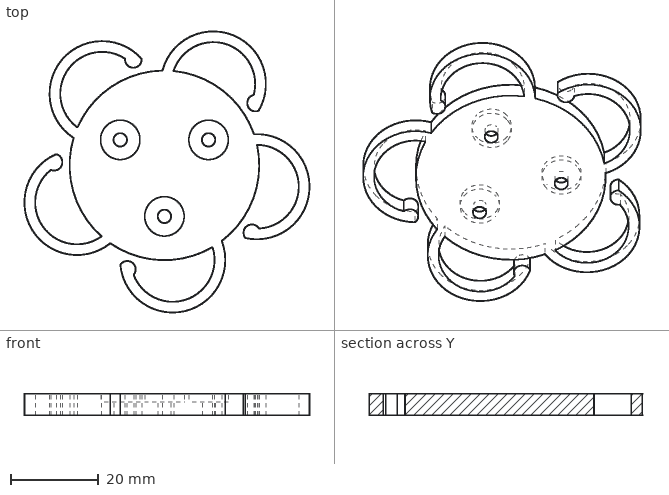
import cadquery as cq
import math

thickness = 5.0
disc_radius = 21.65

screw_count = 3
screw_circle_radius = 11.63
screw_first_angle = -90.0
screw_hole_diameter = 3.0
counterbore_diameter = 9.0
counterbore_depth = 1.9

hook_count = 5
hook_first_angle = -13.0
hook_outer_radius = 12.02
hook_width = 2.5
hook_inner_radius = hook_outer_radius - hook_width
hook_tip_angle = -83.3
hook_root_angle = 150.0
tip_radius = 1.92
tip_centre_radius = 10.57


def polar(radius, angle):
    """Point at the given radius and angle in degrees."""
    return (radius * math.cos(math.radians(angle)), radius * math.sin(math.radians(angle)))


def make_disc():
    return cq.Workplane("XY").circle(disc_radius).extrude(thickness)


def make_hook():
    """Hook centred on the origin, with its outward direction along +X."""
    middle_angle = (hook_tip_angle + hook_root_angle) / 2
    band = (
        cq.Workplane("XY")
        .moveTo(*polar(hook_outer_radius, hook_tip_angle))
        .threePointArc(
            polar(hook_outer_radius, middle_angle),
            polar(hook_outer_radius, hook_root_angle),
        )
        .lineTo(*polar(hook_inner_radius, hook_root_angle))
        .threePointArc(
            polar(hook_inner_radius, middle_angle),
            polar(hook_inner_radius, hook_tip_angle),
        )
        .close()
        .extrude(thickness)
    )
    tip = (
        cq.Workplane("XY")
        .center(*polar(tip_centre_radius, hook_tip_angle))
        .circle(tip_radius)
        .extrude(thickness)
    )
    envelope = cq.Workplane("XY").circle(hook_outer_radius).extrude(thickness)
    return band.union(tip.intersect(envelope))


def add_hooks(body):
    hook = make_hook().translate((disc_radius, 0, 0))
    for index in range(hook_count):
        angle = hook_first_angle + index * 360.0 / hook_count
        body = body.union(hook.rotate((0, 0, 0), (0, 0, 1), angle))
    return body


def cut_screw_holes(body):
    centres = [
        polar(screw_circle_radius, screw_first_angle + index * 360.0 / screw_count)
        for index in range(screw_count)
    ]
    return (
        body.faces(">Z")
        .workplane(origin=(0, 0, thickness))
        .pushPoints(centres)
        .cboreHole(screw_hole_diameter, counterbore_diameter, counterbore_depth)
    )


result = cut_screw_holes(add_hooks(make_disc()))